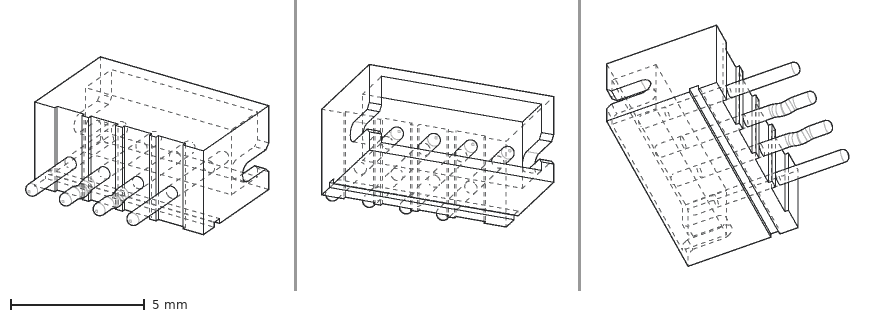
import cadquery as cq
import math


housing_width = 7.5
housing_depth = 4.5
housing_height = 3.5
side_wall = 0.5
floor_wall = 0.4

pin_count = 4
pin_pitch = 1.5
pin_diameter = 0.5
pin_radius = pin_diameter / 2
pin_height = 1.3
pin_tail = 2.7
pin_setback = 0.675
pin_tip_fillet = 0.2
kinked_pins = (1, 2)
first_pin_x = (housing_width - (pin_count - 1) * pin_pitch) / 2
pin_positions = [first_pin_x + i * pin_pitch for i in range(pin_count)]
pin_back_y = housing_depth - pin_setback

kink_center_y = -1.4
kink_half_length = 0.495
kink_angle = math.radians(19)
kink_radius = 0.5
kink_flat = 0.03

slot_width = 0.795
slot_height = 1.34
slot_depth = 1.8
slot_chamfer = 0.2

cavity_depth = slot_depth

recess_width = 1.2
recess_depth = 0.15

groove_front_y = 0.75
groove_width = 0.37
groove_depth = 0.2


def block(x0, x1, y0, y1, z0, z1):
    """Box between two opposite corners."""
    return cq.Workplane("XY").box(x1 - x0, y1 - y0, z1 - z0, centered=False).translate((x0, y0, z0))


def side_slot():
    """Round-ended slot with a chamfered mouth, cut through both side walls."""
    half = slot_width / 2
    end_y = housing_depth - slot_depth
    mouth_y = housing_depth - slot_chamfer
    mouth_half = half + slot_chamfer
    return (
        cq.Workplane("YZ")
        .moveTo(housing_depth, slot_height + mouth_half)
        .lineTo(mouth_y, slot_height + half)
        .lineTo(end_y + half, slot_height + half)
        .threePointArc((end_y, slot_height), (end_y + half, slot_height - half))
        .lineTo(mouth_y, slot_height - half)
        .lineTo(housing_depth, slot_height - mouth_half)
        .close()
        .extrude(housing_width)
    )


def kink_points():
    """Centreline points (Y, Z) of the front half of the kink, as offsets from its start.

    Returns the middle and end of the outer bend, the start and middle of the bottom bend,
    and the end of the bottom bend. Y offsets run towards the kink centre, Z offsets downwards.
    """
    sin_full, cos_full = math.sin(kink_angle), math.cos(kink_angle)
    sin_half, cos_half = math.sin(kink_angle / 2), math.cos(kink_angle / 2)
    bottom_end = kink_half_length - kink_flat / 2
    outer_mid = (kink_radius * sin_half, kink_radius * (1 - cos_half))
    outer_end = (kink_radius * sin_full, kink_radius * (1 - cos_full))
    bottom_start_y = bottom_end - kink_radius * sin_full
    bottom_start = (bottom_start_y, outer_end[1] + (bottom_start_y - outer_end[0]) * math.tan(kink_angle))
    depth = bottom_start[1] + kink_radius * (1 - cos_full)
    bottom_mid = (
        bottom_end - kink_radius * sin_half,
        depth - kink_radius * (1 - cos_half),
    )
    return outer_mid, outer_end, bottom_start, bottom_mid, (bottom_end, depth)


def add_kink(path):
    """Extend a centreline that runs towards -Y with the downward kink."""
    start_y = kink_center_y + kink_half_length
    end_y = kink_center_y - kink_half_length
    offsets = kink_points()
    down = [(start_y - along, pin_height - drop) for along, drop in offsets]
    up = [(end_y + along, pin_height - drop) for along, drop in offsets]
    return (
        path.lineTo(start_y, pin_height)
        .threePointArc(down[0], down[1])
        .lineTo(*down[2])
        .threePointArc(down[3], down[4])
        .lineTo(*up[4])
        .threePointArc(up[3], up[2])
        .lineTo(*up[1])
        .threePointArc(up[0], (end_y, pin_height))
    )


def make_pin(x, kinked):
    """Round pin with rounded tips, swept along its centreline."""
    path = cq.Workplane("YZ", origin=(x, 0, 0)).moveTo(pin_back_y, pin_height)
    if kinked:
        path = add_kink(path)
    path = path.lineTo(-pin_tail, pin_height)
    section = cq.Plane(origin=(x, pin_back_y, pin_height), xDir=(0, 0, 1), normal=(0, -1, 0))
    pin = cq.Workplane(section).circle(pin_radius).sweep(path)
    return pin.faces("<Y or >Y").edges().fillet(pin_tip_fillet)


def make_housing():
    """Box with mating cavity, side slots, face recesses, underside groove and pin holes."""
    body = block(0, housing_width, 0, housing_depth, 0, housing_height)
    body = body.cut(
        block(
            side_wall, housing_width - side_wall,
            housing_depth - cavity_depth, housing_depth,
            floor_wall, housing_height - floor_wall,
        )
    )
    body = body.cut(side_slot())
    body = body.cut(
        block(0, housing_width, groove_front_y, groove_front_y + groove_width, 0, groove_depth)
    )
    for x in pin_positions:
        half = recess_width / 2
        body = body.cut(block(x - half, x + half, 0, recess_depth, 0, housing_height))
        hole = (
            cq.Workplane("XZ", origin=(x, 0, pin_height))
            .circle(pin_radius)
            .extrude(-housing_depth)
        )
        body = body.cut(hole)
    return body


housing = make_housing()
pins = [make_pin(x, i in kinked_pins) for i, x in enumerate(pin_positions)]

result = cq.Compound.makeCompound([housing.val(), *[pin.val() for pin in pins]])